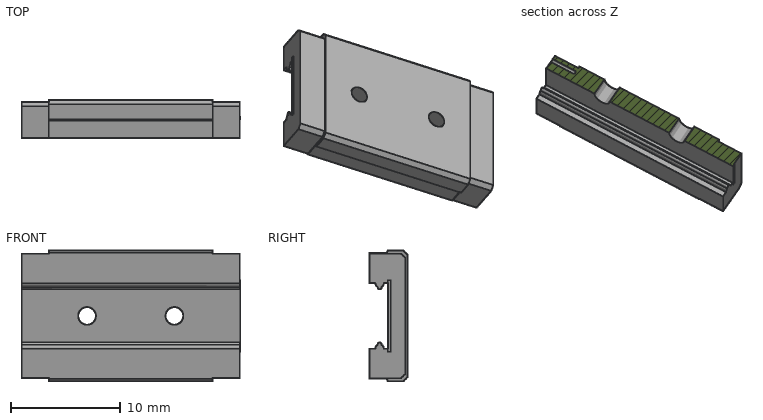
import cadquery as cq
import math


block_length = 15.0
overall_length = 20.0
block_depth = 3.5
block_height = 12.0
edge_chamfer = 0.4
ledge_height = 11.55
ledge_top_y = 1.7
ledge_bottom_y = 1.57
cap_depth = 3.3
cap_height = 11.4

channel_depth = 1.7
channel_height = 6.0

ridge_y = 0.935
ridge_radius = 0.4
tip_radius = 0.19
tip_offset = 0.38

mount_hole_diameter = 1.6
mount_hole_spacing = 8.0
oil_hole_diameter = 0.3
oil_hole_y = 2.7

tab_length = 0.05
tab_thickness = 0.25
tab_height = 6.55

cap_length = (overall_length - block_length) / 2


def extrude_along_x(sketch, length):
    """Extrude a YZ sketch centred on X = 0."""
    return sketch.extrude(length / 2, both=True)


def make_block():
    top = block_height / 2
    ledge = ledge_height / 2
    upper_half = [
        (0, ledge),
        (ledge_bottom_y, ledge),
        (ledge_top_y, top),
        (block_depth - edge_chamfer, top),
        (block_depth, top - edge_chamfer),
    ]
    lower_half = [(y, -z) for y, z in reversed(upper_half)]
    profile = cq.Workplane("YZ").polyline(upper_half + lower_half).close()
    return extrude_along_x(profile, block_length)


def make_caps():
    """Full-length bar whose two ends form the end caps."""
    bar = cq.Workplane("XY").box(
        overall_length, cap_depth, cap_height, centered=(True, False, True)
    )
    return bar.faces(">Y").edges("|X").chamfer(edge_chamfer)


def make_channel():
    return cq.Workplane("XY").box(
        overall_length, channel_depth, channel_height, centered=(True, False, True)
    )


def make_ridge(side):
    """Rounded ridge with a smaller rounded tip on the channel wall at side * Z."""
    wall_z = channel_height / 2
    tip_z = wall_z - tip_offset

    neck_offset = (ridge_radius**2 - tip_radius**2 + tip_offset**2) / (2 * tip_offset)
    neck_half_width = math.sqrt(ridge_radius**2 - neck_offset**2)
    neck_z = wall_z - neck_offset
    flank_angle = math.atan2(neck_offset, neck_half_width) / 2
    flank_y = ridge_radius * math.cos(flank_angle)
    flank_z = wall_z - ridge_radius * math.sin(flank_angle)

    def point(y_offset, z):
        return (ridge_y + y_offset, side * z)

    profile = (
        cq.Workplane("YZ")
        .moveTo(*point(-ridge_radius, wall_z))
        .threePointArc(point(-flank_y, flank_z), point(-neck_half_width, neck_z))
        .threePointArc(point(0, tip_z - tip_radius), point(neck_half_width, neck_z))
        .threePointArc(point(flank_y, flank_z), point(ridge_radius, wall_z))
        .lineTo(*point(ridge_radius, wall_z + ridge_radius))
        .lineTo(*point(-ridge_radius, wall_z + ridge_radius))
        .close()
    )
    return extrude_along_x(profile, overall_length)


def make_mount_holes():
    return (
        cq.Workplane("XZ")
        .rarray(mount_hole_spacing, 1, 2, 1)
        .circle(mount_hole_diameter / 2)
        .extrude(-block_depth)
    )


def make_oil_hole():
    """Blind oil hole through the -X end cap."""
    return (
        cq.Workplane("YZ", origin=(-overall_length / 2, 0, 0))
        .center(oil_hole_y, 0)
        .circle(oil_hole_diameter / 2)
        .extrude(cap_length)
    )


def make_end_tab():
    tab = cq.Workplane("XY").box(
        tab_length, tab_thickness, tab_height, centered=(False, False, True)
    )
    return tab.translate((overall_length / 2, channel_depth, 0))


result = make_block().union(make_caps()).cut(make_channel())
for side in (-1, 1):
    result = result.union(make_ridge(side))
result = result.union(make_end_tab())
result = result.cut(make_mount_holes()).cut(make_oil_hole())